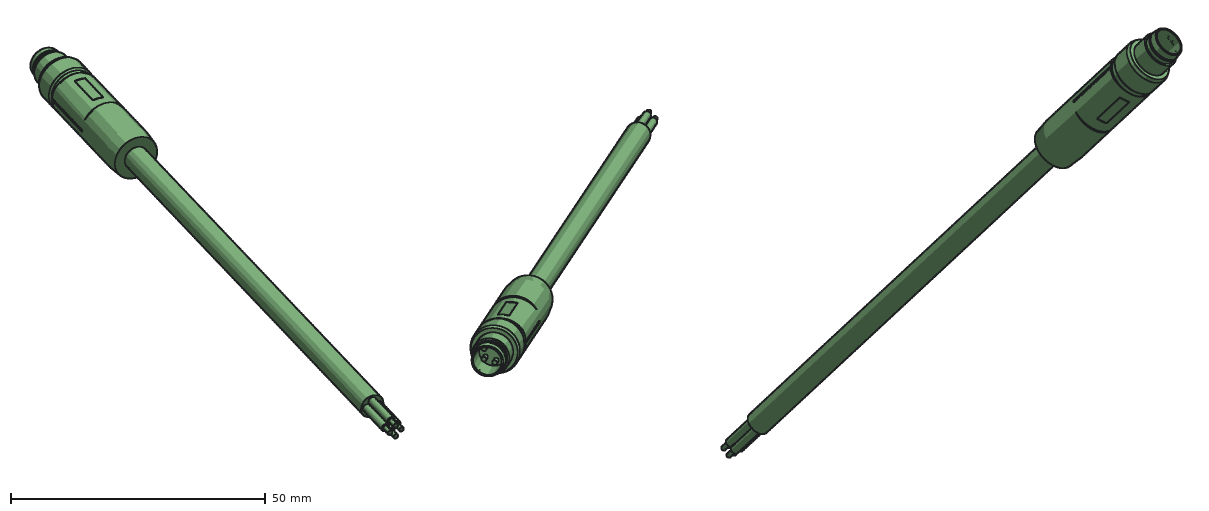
import cadquery as cq
import math


tip_radius = 3.2
nose_radius = 3.4
lip_end = 1.4
groove_radius = 3.1
groove_end = 1.85
nose_end = 2.8
bore_radius = 2.85
bore_depth = 5.5

sleeve_radius = 3.8
sleeve_end = 6.4
shoulder_radius = 4.7
ring_radius = 5.0
ring_start = 7.2
ring_end = 11.3
neck_radius = 4.6
neck_start = ring_end + (ring_radius - neck_radius)
grip_start = 12.7

grip_end = 25.3
grip_half_height = 4.65
grip_side_half_height = 2.45
side_groove_width = 0.3
side_groove_depth = 0.2
label_start = 14.9
label_length = 7.7
label_width = 2.3
label_depth = 0.2

body_radius = ring_radius
body_end = 35.2
collar_radius = 4.7
connector_length = 38.7

cable_radius = 2.5
cable_length = 100.0
wire_count = 4
wire_radius = 0.85
wire_circle_radius = 1.25
wire_length = 8.0
strand_radius = 0.5
strand_length = 2.0

pin_radius = 0.5
pin_tip = 4.0
pin_base = bore_depth + 1.0
upper_pins = [(1.57, 1.1), (-0.6, 1.65)]


def rod(start, length, radius, y=0.0, z=0.0):
    """Cylinder along X from the station `start`."""
    return cq.Workplane("YZ", origin=(start, y, z)).circle(radius).extrude(length)


def make_shell():
    """Turned connector and cable jacket; the grip is left as a full cylinder."""
    cable_end = connector_length + cable_length
    profile = [
        (0, 0),
        (0, tip_radius),
        (lip_end, nose_radius),
        (lip_end, groove_radius),
        (groove_end, groove_radius),
        (groove_end, nose_radius),
        (nose_end, nose_radius),
        (nose_end, sleeve_radius),
        (sleeve_end, sleeve_radius),
        (sleeve_end, shoulder_radius),
        (ring_start, ring_radius),
        (ring_end, ring_radius),
        (neck_start, neck_radius),
        (grip_start, neck_radius),
        (grip_start, body_radius),
        (body_end, body_radius),
        (connector_length, collar_radius),
        (connector_length, cable_radius),
        (cable_end, cable_radius),
        (cable_end, 0),
    ]
    turned = cq.Workplane("XY").polyline(profile).close()
    return turned.revolve(360, (0, 0, 0), (1, 0, 0))


def grip_cutter():
    """Material around the grip outline: round sides joined by shallower arcs above and below."""
    half_width = math.sqrt(body_radius**2 - grip_side_half_height**2)
    side = grip_side_half_height
    plane = cq.Workplane("YZ", origin=(grip_start, 0, 0))
    outline = (
        plane.moveTo(half_width, -side)
        .threePointArc((body_radius, 0), (half_width, side))
        .threePointArc((0, grip_half_height), (-half_width, side))
        .threePointArc((-body_radius, 0), (-half_width, -side))
        .threePointArc((0, -grip_half_height), (half_width, -side))
        .close()
        .extrude(grip_end - grip_start)
    )
    return rod(grip_start, grip_end - grip_start, 2 * body_radius).cut(outline)


def side_grooves():
    """Narrow parting groove along the middle of each grip side."""
    length = grip_end - grip_start
    grooves = cq.Workplane("XY")
    for side in (1, -1):
        groove = cq.Workplane("XY").box(length, 2 * side_groove_depth, side_groove_width)
        grooves = grooves.add(groove.translate((grip_start + length / 2, side * body_radius, 0)))
    return grooves.combine()


def label_recesses():
    """Flat-bottomed label recess in the upper and lower crowns of the grip."""
    recesses = cq.Workplane("XY")
    for side in (1, -1):
        recess = cq.Workplane("XY").box(label_length, label_width, 2 * label_depth)
        recesses = recesses.add(
            recess.translate((label_start + label_length / 2, 0, side * grip_half_height))
        )
    return recesses.combine()


def add_pins(part):
    """Four contact pins standing on the bore floor."""
    for y, z in upper_pins:
        for side in (1, -1):
            part = part.union(rod(pin_tip, pin_base - pin_tip, pin_radius, y, side * z))
    return part


def add_wires(part):
    """Stripped wires leaving the jacket, each ending in a thinner bare strand."""
    wire_start = connector_length + cable_length
    for i in range(wire_count):
        angle = 2 * math.pi * i / wire_count
        y = wire_circle_radius * math.cos(angle)
        z = wire_circle_radius * math.sin(angle)
        wire = rod(wire_start, wire_length, wire_radius, y, z)
        strand = rod(wire_start + wire_length, strand_length, strand_radius, y, z)
        part = part.union(wire).union(strand)
    return part


result = make_shell()
result = result.cut(grip_cutter()).cut(side_grooves()).cut(label_recesses())
result = result.cut(rod(0, bore_depth, bore_radius))
result = add_pins(result)
result = add_wires(result)